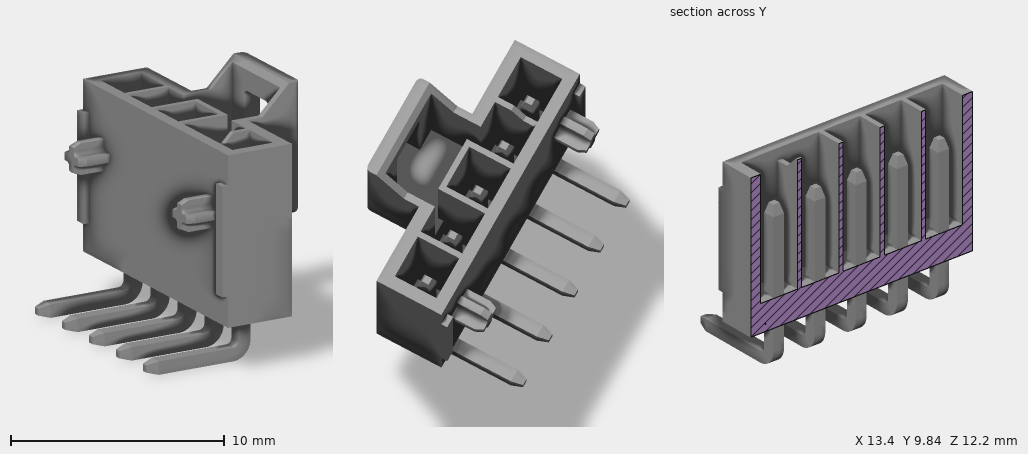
import cadquery as cq
import math


body_width = 13.44
body_depth = 3.47
body_height = 8.48

pitch = 2.5
cavity_count = 5
cavity_side = 2.22
cavity_floor_z = 1.61
row_y = 1.71
partition = pitch - cavity_side
cavity_back_y = row_y + cavity_side / 2
cavity_front_y = row_y - cavity_side / 2
cavity_xs = [(i - (cavity_count - 1) / 2) * pitch for i in range(cavity_count)]

step_drop = 0.65
step_top_y = 1.95

latch_width = 5.17
latch_back_y = 6.33
latch_bottom_z = 3.47
latch_top_z = 9.95
latch_rim = 0.59
latch_edge_radius = 0.27
latch_side_wall = 0.36
latch_back_wall = 0.87
latch_floor = 0.31
pocket_width = latch_width - 2 * latch_side_wall
pocket_back_y = latch_back_y - latch_back_wall
pocket_floor_z = latch_bottom_z + latch_floor

window_width = 2.25
window_top_z = 8.63
window_radius = 0.27

rail_width = 0.58
rail_height = 0.31
rail_bottom_z = 1.55
rail_top_z = 6.99

peg_z = 5.27
peg_span = 1.61
peg_arm = 0.4
peg_fillet = 0.2
peg_length = 1.64
peg_tip_length = 0.39
peg_tip_inset = 0.17

pin_side = 0.66
pin_top_z = 6.45
pin_bottom_z = -2.22
tail_end_y = -3.51
pin_tip_length = 0.56
pin_tip_side = 0.35
bend_inner_radius = 0.3


def box(x_range, y_range, z_range):
    """Axis-aligned box between the given limits."""
    size = [high - low for low, high in (x_range, y_range, z_range)]
    corner = (x_range[0], y_range[0], z_range[0])
    return cq.Workplane("XY").box(*size, centered=False).translate(corner)


def centred_box(width, y_range, z_range, x=0.0):
    """Box of the given width, centred on x."""
    return box((x - width / 2, x + width / 2), y_range, z_range)


def make_latch():
    """Solid latch housing, with its mouth sloping at 45 degrees up to the back rim."""
    block = centred_box(latch_width, (body_depth, latch_back_y), (latch_bottom_z, latch_top_z))
    block = block.edges("(|Z and >Y) or (|Y and <Z) or (|X and >Y and <Z)").fillet(latch_edge_radius)
    slope_top_y = latch_back_y - latch_rim
    slope_end_y = slope_top_y - (latch_top_z - body_height)
    mouth = (
        cq.Workplane("YZ")
        .moveTo(slope_top_y, latch_top_z)
        .lineTo(slope_end_y, body_height)
        .lineTo(body_depth, body_height)
        .lineTo(body_depth, latch_top_z)
        .close()
        .extrude(latch_width / 2, both=True)
    )
    return block.cut(mouth)


def make_latch_pocket():
    """Space for the mating latch, leaving a wall round the middle cavity."""
    pocket = centred_box(pocket_width, (cavity_back_y, pocket_back_y), (pocket_floor_z, latch_top_z))
    middle_cavity_back = centred_box(
        cavity_side + 2 * partition,
        (cavity_back_y, cavity_back_y + partition),
        (pocket_floor_z, body_height),
    )
    return pocket.cut(middle_cavity_back)


def make_window():
    """Opening through the latch back wall, with rounded top corners."""
    window = centred_box(
        window_width, (pocket_back_y, latch_back_y), (pocket_floor_z, window_top_z)
    )
    return window.edges("|Y and >Z").fillet(window_radius)


def make_cavity(x):
    """Square contact cavity, open at the top."""
    return centred_box(
        cavity_side,
        (cavity_front_y, cavity_back_y),
        (cavity_floor_z, body_height),
        x,
    )


def make_partition_step():
    """Material removed from the partition between the last two cavities."""
    partition_x = (cavity_xs[-2] + cavity_xs[-1]) / 2
    return (
        cq.Workplane("YZ")
        .moveTo(step_top_y, body_height)
        .lineTo(step_top_y - step_drop, body_height - step_drop)
        .lineTo(cavity_front_y, body_height - step_drop)
        .lineTo(cavity_front_y, body_height)
        .close()
        .extrude(partition / 2, both=True)
        .translate((partition_x, 0, 0))
    )


def make_rail(side):
    """Stand-off rail along one end of the mounting face; side is -1 or +1."""
    x = side * (body_width - rail_width) / 2
    return centred_box(rail_width, (-rail_height, 0), (rail_bottom_z, rail_top_z), x)


def make_peg(x):
    """Locating peg: a round pin with a conical tip, reduced to a cross with filleted inner corners."""
    radius = peg_span / 2
    cone_start_y = -(peg_length - peg_tip_length)
    round_pin = (
        cq.Workplane("XY")
        .lineTo(radius, 0)
        .lineTo(radius, cone_start_y)
        .lineTo(radius - peg_tip_inset, -peg_length)
        .lineTo(0, -peg_length)
        .close()
        .revolve(360, (0, 0, 0), (0, 1, 0))
    )
    arm = centred_box(peg_span, (-peg_length, 0), (-peg_arm / 2, peg_arm / 2))
    upright = centred_box(peg_arm, (-peg_length, 0), (-radius, radius))
    inner_corners = cq.selectors.BoxSelector(
        (-peg_arm, -peg_length, -peg_arm),
        (peg_arm, 0, peg_arm),
    )
    cross = arm.union(upright).edges("|Y").edges(inner_corners).fillet(peg_fillet)
    return cross.intersect(round_pin).translate((x, 0, peg_z))


def add_tip(shank, face):
    """Add a four-sided tapered tip to the given end face of a pin."""
    taper = math.degrees(math.atan2((pin_side - pin_tip_side) / 2, pin_tip_length))
    end = shank.faces(face).workplane(centerOption="CenterOfMass")
    return end.rect(pin_side, pin_side).extrude(pin_tip_length, taper=taper)


def make_pin(x):
    """Square pin rising into its cavity, bent forward below the body, tapered at both ends."""
    half_side = pin_side / 2
    bend_radius = bend_inner_radius + half_side
    tail_z = pin_bottom_z + half_side
    bend_y = row_y - bend_radius
    bend_z = tail_z + bend_radius
    diagonal = bend_radius * math.sqrt(0.5)
    path = (
        cq.Workplane("YZ")
        .moveTo(row_y, pin_top_z - pin_tip_length)
        .lineTo(row_y, bend_z)
        .threePointArc((bend_y + diagonal, bend_z - diagonal), (bend_y, tail_z))
        .lineTo(tail_end_y + pin_tip_length, tail_z)
    )
    section = cq.Workplane("XY", origin=(0, row_y, pin_top_z - pin_tip_length))
    shank = section.rect(pin_side, pin_side).sweep(path)
    pin = add_tip(add_tip(shank, ">Z"), "<Y")
    return pin.translate((x, 0, 0))


housing = centred_box(body_width, (0, body_depth), (0, body_height)).union(make_latch())
housing = housing.cut(make_latch_pocket()).cut(make_window()).cut(make_partition_step())
for cavity_x in cavity_xs:
    housing = housing.cut(make_cavity(cavity_x))
for rail_side in (-1, 1):
    housing = housing.union(make_rail(rail_side))
for peg_x in (cavity_xs[0], cavity_xs[-1]):
    housing = housing.union(make_peg(peg_x))

result = housing
for pin_x in cavity_xs:
    result = result.union(make_pin(pin_x))